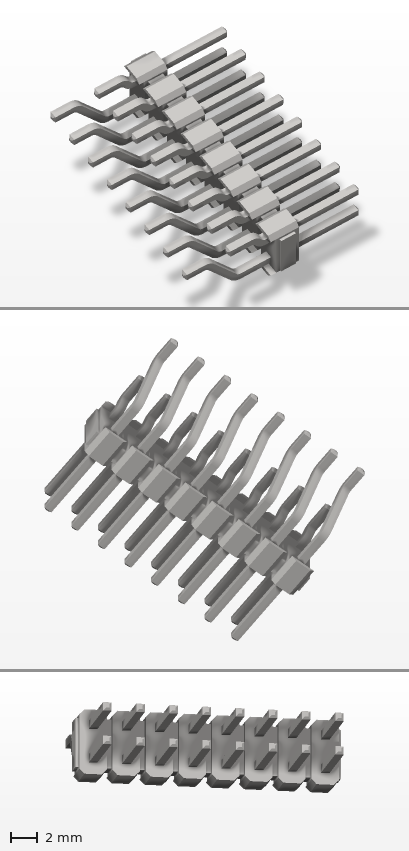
import cadquery as cq
import math

overall_length = 20.32
module_count = 8
pitch = overall_length / module_count

block_width = 2.1
block_height = 5.0
flange_thickness = 0.39
core_depth = 2.05
flange_depth = 2.56

web_inset = 0.43
web_depth = 1.35
web_end_gap = 0.59
web_height = block_height - 2 * web_end_gap

pin_size = 0.65
pin_tip_size = 0.25
pin_tip_length = 0.16
pin_rear_length = 6.01
bend_angle = math.radians(54.0)
foot_level = (block_height - pin_size) / 2

upper_pin_level = 1.32
upper_bend_start = 2.52
upper_bend_radius = 0.7
upper_pin_reach = 5.87

lower_pin_level = -1.28
lower_bend_start = 4.8
lower_bend_radius = 0.77
lower_pin_reach = 9.83


def make_block():
    """Octagonal block, relieved at the front between its flanges, with the web on both sides."""
    block = (
        cq.Workplane("XY")
        .box(block_width, flange_depth, block_height, centered=(True, False, True))
        .translate((0, -flange_depth, 0))
        .edges("|Y")
        .chamfer(flange_thickness)
    )
    relief_depth = flange_depth - core_depth
    relief = (
        cq.Workplane("XY")
        .box(block_width, relief_depth, block_height - 2 * flange_thickness, centered=(True, False, True))
        .translate((0, -flange_depth, 0))
    )
    web = (
        cq.Workplane("XY")
        .box(pitch, web_depth, web_height, centered=(True, False, True))
        .translate((0, -web_inset - web_depth, 0))
    )
    return block.cut(relief).union(web)


def make_tip(y_base, level, direction):
    """Tapered pin end that points along +Y (direction 1) or -Y (direction -1)."""
    base = cq.Plane(origin=(0, y_base, level), xDir=(1, 0, 0), normal=(0, direction, 0))
    return (
        cq.Workplane(base)
        .rect(pin_size, pin_size)
        .workplane(offset=pin_tip_length)
        .rect(pin_tip_size, pin_tip_size)
        .loft(ruled=True)
    )


def make_pin(level, bend_start, radius, reach):
    """Pin that runs forward at the given level and steps up through two equal bends to the foot level."""
    rear_y = pin_rear_length - pin_tip_length
    foot_end_y = pin_tip_length - reach

    arc_run = radius * math.sin(bend_angle)
    arc_rise = radius * (1 - math.cos(bend_angle))
    half_arc_run = radius * math.sin(bend_angle / 2)
    half_arc_rise = radius * (1 - math.cos(bend_angle / 2))
    slope_rise = foot_level - level - 2 * arc_rise
    slope_run = slope_rise / math.tan(bend_angle)

    first_y = -bend_start
    foot_y = first_y - 2 * arc_run - slope_run
    path = (
        cq.Workplane("YZ")
        .moveTo(rear_y, level)
        .lineTo(first_y, level)
        .threePointArc((first_y - half_arc_run, level + half_arc_rise), (first_y - arc_run, level + arc_rise))
        .lineTo(foot_y + arc_run, foot_level - arc_rise)
        .threePointArc((foot_y + half_arc_run, foot_level - half_arc_rise), (foot_y, foot_level))
        .lineTo(foot_end_y, foot_level)
    )
    rear_plane = cq.Plane(origin=(0, rear_y, level), xDir=(1, 0, 0), normal=(0, -1, 0))
    shaft = cq.Workplane(rear_plane).rect(pin_size, pin_size).sweep(path)
    rear_tip = make_tip(rear_y, level, 1)
    foot_tip = make_tip(foot_end_y, foot_level, -1)
    return shaft.union(rear_tip).union(foot_tip)


def make_module():
    """One block joined with its upper and lower pin."""
    upper_pin = make_pin(upper_pin_level, upper_bend_start, upper_bend_radius, upper_pin_reach)
    lower_pin = make_pin(lower_pin_level, lower_bend_start, lower_bend_radius, lower_pin_reach)
    return make_block().union(upper_pin).union(lower_pin)


module = make_module().solids()
modules = []
for index in range(module_count):
    module_x = (index - (module_count - 1) / 2) * pitch
    modules.append(module.translate((module_x, 0, 0)).val())

result = cq.Compound.makeCompound(modules)